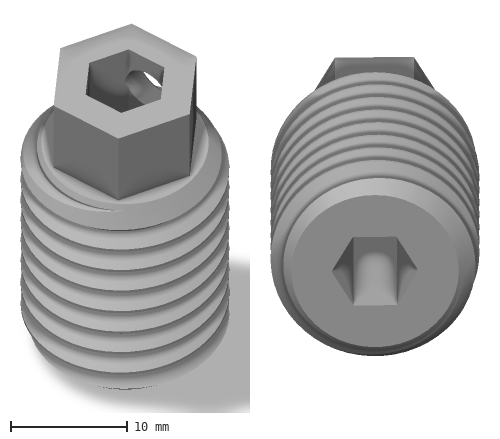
import cadquery as cq
import math

total_height = 31.23
body_height = 23.42
head_height = total_height - body_height

head_flats = 11.77
socket_flats = 6.5

major_radius = 9.0
root_radius = 7.6
pitch = 2.6
crest_width = 0.28
flank_angle = 30.0
crest_height_at_x = 4.1

chamfer_width = 1.78
chamfer_height = 2.0

hole_radius = 2.05
countersink_radius = 2.6
countersink_depth = 0.45
hole_face_angle = 120.0
hole_height = body_height + head_height / 2


def hexagon_prism(across_flats, bottom, height):
    """Hexagonal prism with corners on the Y axis."""
    corner_diameter = across_flats / math.cos(math.radians(30))
    prism = cq.Workplane("XY").polygon(6, corner_diameter).extrude(height)
    return prism.rotate((0, 0, 0), (0, 0, 1), 30).translate((0, 0, bottom))


def chamfered_body():
    """Plain cylinder with a conical chamfer at each end."""
    end_radius = major_radius - chamfer_width
    profile = [
        (0, 0),
        (end_radius, 0),
        (major_radius, chamfer_height),
        (major_radius, body_height - chamfer_height),
        (end_radius, body_height),
        (0, body_height),
    ]
    return cq.Workplane("XZ").polyline(profile).close().revolve(360, (0, 0), (0, 1))


def thread_groove():
    """Helical cutter that runs out past both ends of the body."""
    overcut = 0.15
    slope = math.tan(math.radians(flank_angle))
    opening_half = (pitch - crest_width) / 2
    root_half = opening_half - (major_radius - root_radius) * slope
    outer_half = opening_half + overcut * slope
    outer_radius = major_radius + overcut

    turns_below = math.ceil(crest_height_at_x / pitch)
    start = crest_height_at_x - (turns_below + 0.5) * pitch
    turns = math.ceil((body_height - start) / pitch) + 1
    path = cq.Wire.makeHelix(pitch, turns * pitch, root_radius, cq.Vector(0, 0, start))
    section = [
        (root_radius, start - root_half),
        (outer_radius, start - outer_half),
        (outer_radius, start + outer_half),
        (root_radius, start + root_half),
    ]
    return cq.Workplane("XZ").polyline(section).close().sweep(cq.Workplane(path), isFrenet=True)


def cross_hole():
    """Countersunk hole from the head face to the socket axis."""
    face_distance = head_flats / 2
    profile = [
        (0, 0),
        (hole_radius, 0),
        (hole_radius, face_distance - countersink_depth),
        (countersink_radius, face_distance),
        (0, face_distance),
    ]
    cutter = cq.Workplane("XZ").polyline(profile).close().revolve(360, (0, 0), (0, 1))
    cutter = cutter.rotate((0, 0, 0), (0, 1, 0), 90)
    cutter = cutter.rotate((0, 0, 0), (0, 0, 1), hole_face_angle)
    return cutter.translate((0, 0, hole_height))


threaded_body = chamfered_body().cut(thread_groove())
head = hexagon_prism(head_flats, body_height, head_height)
socket = hexagon_prism(socket_flats, 0, total_height)

result = threaded_body.union(head).cut(socket).cut(cross_hole())